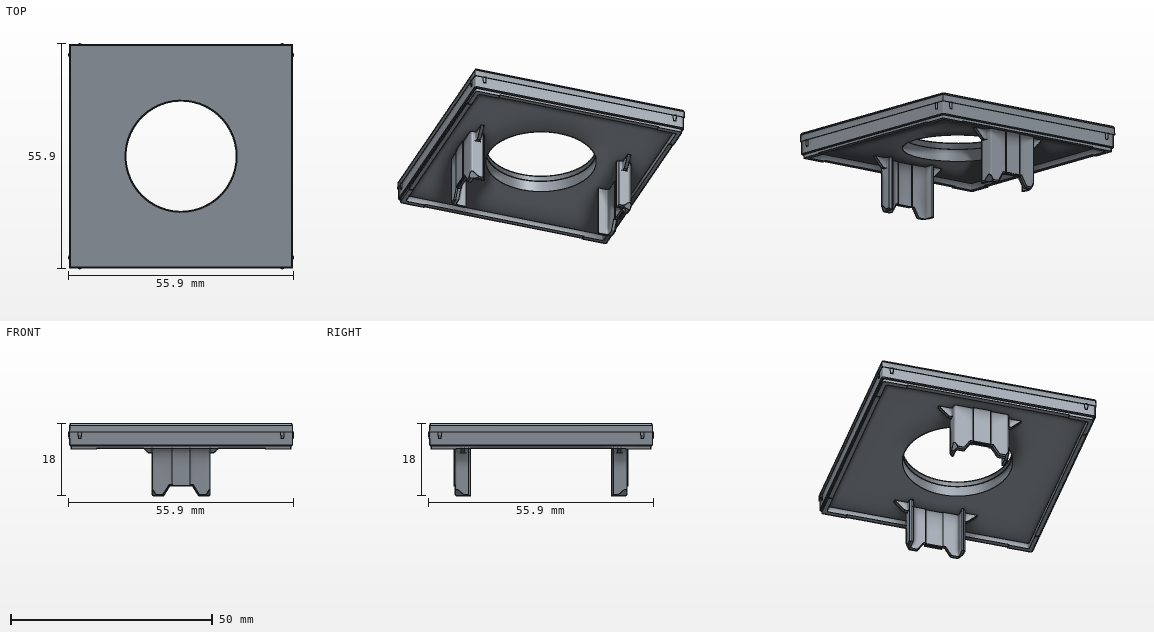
import cadquery as cq
import math

overall_size = 55.9
overall_height = 18.0

cap_size = 55.45
cap_depth = 2.1
cap_draft = 0.05
cap_edge_height = 0.45
cap_edge_inset = 0.2

base_size = 55.35
base_depth = 5.55
base_corner_radius = 0.6
base_edge_chamfer = 0.2
rim_size = 54.55
rim_corner_radius = 0.55
rim_depth = 6.15
rim_wall = 1.1
floor_depth = 4.7

foot_depth = 6.4
foot_start = 20.95

opening_radius = 13.8
opening_chamfer = 0.1
liner_radius = 13.7
liner_depth = 1.6

nub_radius = 0.45
nub_position = 25.15
nub_straight = 0.8
nub_tip_radius = 0.35
nub_length = 1.6

leg_half_width = 7.2
leg_outer_y = -21.35
leg_inner_y = -17.5
leg_web = 1.1
leg_flange = 0.9
leg_outer_radius = 0.8
leg_inner_radius = 0.55
leg_end_chamfer = 0.35
flange_tip_chamfer = 0.5
corner_cut_x = 1.1
corner_cut_y = 2.55
corner_cut_z = 2.1
panel_half_width = 2.25
panel_offset = 0.3

notch_depth = 15.5
notch_top_half_width = 2.8
notch_bottom_half_width = 4.35
notch_round = 0.5
notch_clearance = 0.55

rib_half_span = 9.3
rib_foot_half_span = 8.1
rib_depth = 7.3
rib_inner_y = -19.0
rib_width = 0.85
rib_root_radius = 0.35


def square_block(size, top_depth, bottom_depth, corner_radius):
    """Square block with rounded vertical corners between two depths."""
    block = cq.Workplane("XY").workplane(offset=-bottom_depth)
    block = block.rect(size, size).extrude(bottom_depth - top_depth)
    return block.edges("|Z").fillet(corner_radius)


def square_loft(bottom_size, bottom_z, top_size, top_z):
    """Square frustum between two heights."""
    loft = cq.Workplane("XY").workplane(offset=bottom_z).rect(bottom_size, bottom_size)
    loft = loft.workplane(offset=top_z - bottom_z).rect(top_size, top_size)
    return loft.loft(ruled=True)


def make_cap():
    """Square cap with slightly drafted sides and a bevelled top edge."""
    shoulder_size = cap_size - 2 * cap_draft
    top_size = shoulder_size - 2 * cap_edge_inset
    cap = square_loft(cap_size, -cap_depth, shoulder_size, -cap_edge_height)
    return cap.union(square_loft(shoulder_size, -cap_edge_height, top_size, 0))


def make_base():
    """Base block with a recessed rim that leaves a shallow pocket underneath."""
    body = square_block(base_size, cap_depth, base_depth, base_corner_radius)
    body = body.faces("<Z").edges().chamfer(base_edge_chamfer)
    rim = square_block(rim_size, cap_depth, foot_depth, rim_corner_radius)

    gap_height = foot_depth - rim_depth
    gap_box = cq.Workplane("XY").box(2 * foot_start, overall_size, gap_height)
    gap_box = gap_box.translate((0, 0, -(rim_depth + foot_depth) / 2))
    rim = rim.cut(gap_box).cut(gap_box.rotate((0, 0, 0), (0, 0, 1), 90))

    pocket_size = rim_size - 2 * rim_wall
    pocket = square_block(pocket_size, floor_depth, foot_depth, rim_corner_radius)
    return body.union(rim).cut(pocket)


def cut_opening(plate):
    """Stepped round opening with a small chamfer at the top."""
    plate = plate.cut(cq.Workplane("XY").circle(liner_radius).extrude(-floor_depth))
    plate = plate.cut(cq.Workplane("XY").circle(opening_radius).extrude(-liner_depth))
    rim_cone = cq.Workplane("XY").circle(opening_radius + opening_chamfer)
    rim_cone = rim_cone.workplane(offset=-opening_chamfer).circle(opening_radius).loft()
    return plate.cut(rim_cone)


def make_nub(x, y):
    """Round nub with a conical tip, half sunk in the base wall."""
    profile = [
        (0, -cap_depth),
        (nub_radius, -cap_depth),
        (nub_radius, -cap_depth - nub_straight),
        (nub_tip_radius, -cap_depth - nub_length),
        (0, -cap_depth - nub_length),
    ]
    nub = cq.Workplane("XZ").polyline(profile).close().revolve(360, (0, 0), (0, 1))
    return nub.translate((x, y, 0))


def notch_cutter():
    """Notch with sloping flanks, rounded where the flanks meet the leg end."""
    slope = math.atan2(overall_height - notch_depth, notch_bottom_half_width - notch_top_half_width)
    tangent = notch_round * math.tan(slope / 2)
    flank_x = notch_bottom_half_width - tangent * math.cos(slope)
    flank_z = -overall_height + tangent * math.sin(slope)
    flat_x = notch_bottom_half_width + tangent
    centre_z = -overall_height + notch_round
    middle_x = flat_x - notch_round * math.sin(slope / 2)
    middle_z = centre_z - notch_round * math.cos(slope / 2)
    cutter = (
        cq.Workplane("XZ", origin=(0, leg_inner_y + notch_clearance, 0))
        .moveTo(-flat_x, -overall_height)
        .threePointArc((-middle_x, middle_z), (-flank_x, flank_z))
        .lineTo(-notch_top_half_width, -notch_depth)
        .lineTo(notch_top_half_width, -notch_depth)
        .lineTo(flank_x, flank_z)
        .threePointArc((middle_x, middle_z), (flat_x, -overall_height))
        .close()
    )
    return cutter.extrude(leg_inner_y - leg_outer_y + 2 * notch_clearance)


def leg_corner_cut(side):
    """Tetrahedron that bevels the outer lower corner of a leg."""
    x = side * leg_half_width
    corner = cq.Vector(x, leg_outer_y, -overall_height)
    along_x = corner + cq.Vector(-side * corner_cut_x, 0, 0)
    along_y = corner + cq.Vector(0, corner_cut_y, 0)
    along_z = corner + cq.Vector(0, 0, corner_cut_z)
    triangles = [
        (corner, along_x, along_y),
        (corner, along_x, along_z),
        (corner, along_y, along_z),
        (along_x, along_y, along_z),
    ]
    faces = [cq.Face.makeFromWires(cq.Wire.makePolygon(list(t), close=True)) for t in triangles]
    return cq.Workplane(cq.Solid.makeSolid(cq.Shell.makeShell(faces)))


def box_between(x_half, y_low, y_high, z_low, z_high):
    """Box symmetric about X = 0 between the given Y and Z limits."""
    box = cq.Workplane("XY").box(2 * x_half, y_high - y_low, z_high - z_low)
    return box.translate((0, (y_low + y_high) / 2, (z_low + z_high) / 2))


def make_leg():
    """U-shaped clip leg on the -Y side, open towards the centre of the part."""
    leg = box_between(leg_half_width, leg_outer_y, leg_inner_y, -overall_height, -floor_depth)
    leg = leg.edges("|Z and <Y").fillet(leg_outer_radius)
    leg = leg.edges("|Z and >Y").chamfer(flange_tip_chamfer)

    web_inner_y = leg_outer_y + leg_web
    channel_half_width = leg_half_width - leg_flange
    channel = box_between(channel_half_width, web_inner_y, leg_inner_y, -overall_height, -floor_depth)
    channel = channel.edges("|Z and <Y").fillet(leg_inner_radius)
    leg = leg.cut(channel).cut(notch_cutter())

    lower_edges = leg.faces("<Y").edges("not |Z").edges("not >Z")
    leg = lower_edges.chamfer(leg_end_chamfer)

    panel = box_between(
        panel_half_width, leg_outer_y - panel_offset, leg_outer_y, -overall_height, -floor_depth
    )
    panel = panel.cut(notch_cutter())
    leg = leg.union(panel).cut(panel.translate((0, leg_web, 0)))

    for side in (-1, 1):
        leg = leg.cut(leg_corner_cut(side))
    return leg


def make_rib(side):
    """Triangular rib joining the flank of a leg to the underside of the base."""
    slope = (rib_half_span - rib_foot_half_span) / (rib_depth - rim_depth)
    root_half_span = rib_half_span + slope * (rim_depth - floor_depth)
    root_x = leg_half_width - leg_flange / 2
    profile = [
        (side * root_x, -floor_depth),
        (side * root_half_span, -floor_depth),
        (side * rib_foot_half_span, -rib_depth),
        (side * root_x, -rib_depth),
    ]
    rib = cq.Workplane("XZ", origin=(0, rib_inner_y, 0)).polyline(profile).close()
    return rib.extrude(rib_width)


def make_clip():
    """Leg with a rib on each flank, filleted where they meet."""
    clip = make_leg()
    for side in (-1, 1):
        clip = clip.union(make_rib(side))
    middle_z = -(floor_depth + rib_depth) / 2
    rib_rear_y = rib_inner_y - rib_width
    for x in (-leg_half_width, leg_half_width):
        for y in (rib_inner_y, rib_rear_y):
            root_edge = clip.edges("|Z").edges(cq.NearestToPointSelector((x, y, middle_z)))
            clip = root_edge.fillet(rib_root_radius)
    return clip


result = cut_opening(make_cap().union(make_base()))

nub_centre = overall_size / 2 - nub_radius
for first in (-1, 1):
    for second in (-1, 1):
        result = result.union(make_nub(first * nub_position, second * nub_centre))
        result = result.union(make_nub(first * nub_centre, second * nub_position))

clip_leg = make_clip()
result = result.union(clip_leg)
result = result.union(clip_leg.mirror("XZ"))